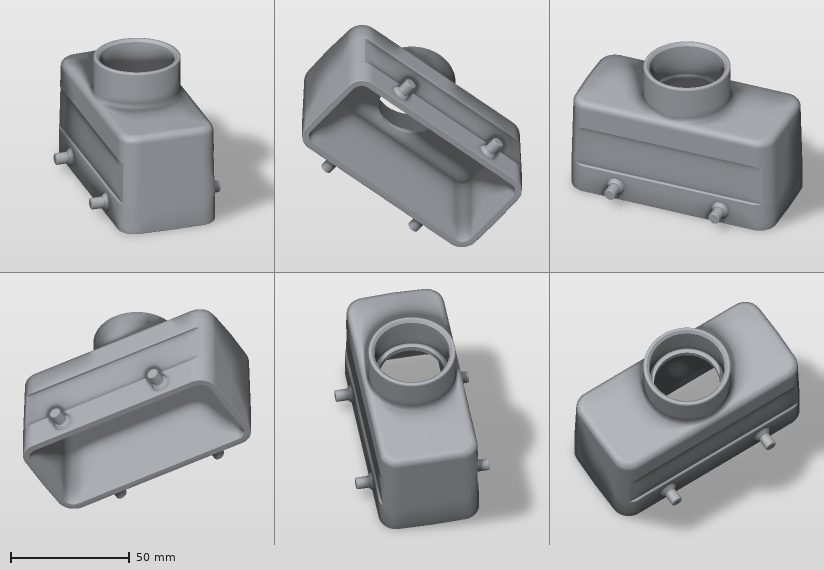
import cadquery as cq
import math

length = 93.5
width = 43.1
skirt_height = 13.0
roof_height = 44.9
draft_angle = 1.2
corner_radius = 7.6
roof_edge_radius = 3.1
bottom_edge_radius = 0.4

wall = 3.0
ceiling_height = 43.3

collar_diameter = 37.0
collar_top = 61.0
collar_rim_radius = 0.8
collar_root_radius = 2.0
bore_diameter = 32.0
bore_floor = 45.7
bore_chamfer = 1.1
entry_hole_diameter = 28.0

panel_depth = 1.0
panel_bottom = 13.4
panel_top = 31.8
panel_ledge_radius = 0.7
panel_lip_radius = 0.5

pin_diameter = 5.0
pin_spacing = 47.7
pin_height = 6.4
pin_tip_span = 57.2
pin_chamfer = 0.3
pin_root_diameter = 8.0
pin_cone_tip_diameter = 5.5
pin_cone_length = 1.6

draft_slope = math.tan(math.radians(draft_angle))



def keep_half(block):
    """Keep only the -Y side of a block."""
    half_space = cq.Workplane("XY").box(2 * length, width, 2 * collar_top, centered=(True, False, True))
    return block.intersect(half_space.translate((0, -width, 0)))


def start_plan(height):
    """Plan outline at the given height: each short end peaks slightly at Y = 0."""
    side_x = length / 2 - width / 2 * draft_slope
    outline = [
        (length / 2, 0),
        (side_x, width / 2),
        (-side_x, width / 2),
        (-length / 2, 0),
        (-side_x, -width / 2),
        (side_x, -width / 2),
    ]
    return cq.Workplane("XY", origin=(0, 0, height)).polyline(outline).close()


def round_corners(half_block):
    """Round the two upright corner edges of the -Y side."""
    return half_block.faces("<Y").edges("not #Z").fillet(corner_radius)


def make_skirt():
    """Straight-sided lower band of the housing."""
    block = keep_half(start_plan(0).extrude(skirt_height))
    return round_corners(block).faces("<Z").edges("not(>Y)").fillet(bottom_edge_radius)


def make_hood():
    """Drafted upper part with rounded corners, a slightly sloped roof and a rounded roof edge."""
    block = keep_half(start_plan(skirt_height).extrude(roof_height - skirt_height, taper=draft_angle))
    eave_height = roof_height - width / 2 * draft_slope
    cross_section = [
        (0, 0),
        (0, roof_height),
        (-width / 2, eave_height),
        (-width / 2, 0),
    ]
    roof_limit = cq.Workplane("YZ").polyline(cross_section).close().extrude(length, both=True)
    rounded = round_corners(block).intersect(roof_limit)
    return rounded.faces(">Z").edges("not(>Y)").fillet(roof_edge_radius)


def make_panel_cutter():
    """Long prism that recesses the -Y side; its floor is parallel to the drafted wall."""
    def wall_y(z):
        return -width / 2 + (z - skirt_height) * draft_slope

    def floor_y(z):
        return wall_y(z) + panel_depth

    ledge_wall_y = -width / 2
    lip_wall_y = wall_y(panel_top + panel_lip_radius)
    outside_y = ledge_wall_y - panel_depth
    arc_reach = 1 - math.sqrt(0.5)
    profile = (
        cq.Workplane("YZ")
        .moveTo(floor_y(panel_bottom), panel_bottom)
        .lineTo(ledge_wall_y + panel_ledge_radius, panel_bottom)
        .threePointArc(
            (ledge_wall_y + panel_ledge_radius * arc_reach, panel_bottom - panel_ledge_radius * arc_reach),
            (ledge_wall_y, panel_bottom - panel_ledge_radius),
        )
        .lineTo(outside_y, panel_bottom - panel_ledge_radius)
        .lineTo(outside_y, panel_top + panel_lip_radius)
        .lineTo(lip_wall_y, panel_top + panel_lip_radius)
        .threePointArc(
            (lip_wall_y + panel_lip_radius * arc_reach, panel_top + panel_lip_radius * arc_reach),
            (lip_wall_y + panel_lip_radius, panel_top),
        )
        .lineTo(floor_y(panel_top), panel_top)
        .close()
    )
    return profile.extrude(length / 2, both=True)


def make_collar():
    """Solid collar, starting inside the roof, with a rounded rim."""
    return (
        cq.Workplane("XY", origin=(0, 0, ceiling_height))
        .circle(collar_diameter / 2)
        .extrude(collar_top - ceiling_height)
        .faces(">Z").edges().fillet(collar_rim_radius)
    )


def make_cavity():
    """Straight-walled hollow, open at the bottom."""
    block = cq.Workplane("XY").rect(length - 2 * wall, width - 2 * wall).extrude(ceiling_height)
    return block.edges("|Z").fillet(corner_radius - wall)


def make_entry_bore():
    """Stepped bore through the collar and roof, with a chamfered mouth."""
    hole_radius = entry_hole_diameter / 2
    bore_radius = bore_diameter / 2
    profile = [
        (0, 0),
        (hole_radius, 0),
        (hole_radius, bore_floor),
        (bore_radius, bore_floor),
        (bore_radius, collar_top - bore_chamfer),
        (bore_radius + bore_chamfer, collar_top),
        (0, collar_top),
    ]
    return cq.Workplane("XZ").polyline(profile).close().revolve(360, (0, 0), (0, 1))


def make_pin():
    """Pin on the -Y side at X = 0, lying along Y with a conical root."""
    root_radius = pin_root_diameter / 2
    cone_tip_radius = pin_cone_tip_diameter / 2
    pin_radius = pin_diameter / 2
    inner_y = -width / 2 + wall / 2
    skirt_y = -width / 2
    cone_tip_y = skirt_y - pin_cone_length
    tip_y = -pin_tip_span / 2
    profile = [
        (0, inner_y),
        (root_radius, inner_y),
        (root_radius, skirt_y),
        (cone_tip_radius, cone_tip_y),
        (pin_radius, cone_tip_y),
        (pin_radius, tip_y + pin_chamfer),
        (pin_radius - pin_chamfer, tip_y),
        (0, tip_y),
    ]
    pin = cq.Workplane("XY").polyline(profile).close().revolve(360, (0, 0), (0, 1))
    return pin.translate((0, 0, pin_height))


hood = make_hood().union(keep_half(make_collar()))
root_zone = cq.selectors.BoxSelector(
    (-collar_diameter, -collar_diameter, ceiling_height),
    (collar_diameter, 0, roof_height + collar_root_radius),
    boundingbox=True,
)
hood = hood.edges(root_zone).fillet(collar_root_radius)

half_body = make_skirt().union(hood).cut(make_panel_cutter())
for pin_x in (-pin_spacing / 2, pin_spacing / 2):
    half_body = half_body.union(make_pin().translate((pin_x, 0, 0)))

body = half_body.union(half_body.mirror("XZ"))
result = body.cut(make_cavity()).cut(make_entry_bore())